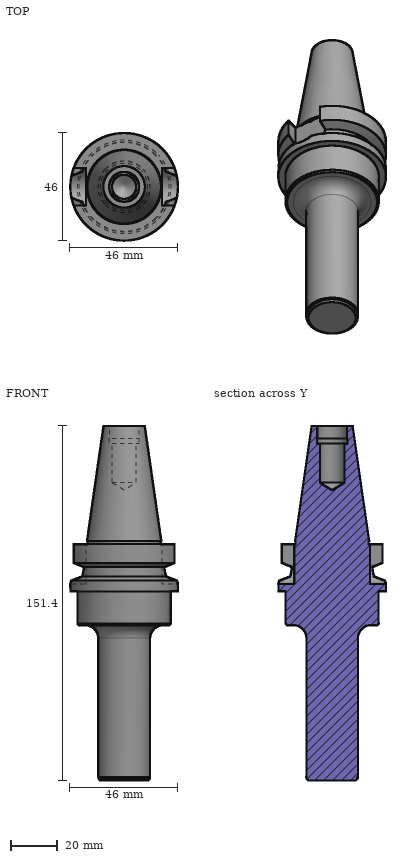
import cadquery as cq
import math

total_height = 151.4
flange_top = 101.0
flange_bottom = 80.8
body_bottom = 66.3
blend_end = 60.9

taper_tip_radius = 17.7 / 2
gauge_radius = 31.8 / 2
neck_radius = 31.3 / 2
neck_height = 1.4

flange_radius = 46.0 / 2
groove_radius = 38.0 / 2
upper_rim_height = 8.0
lower_rim_height = 4.5
groove_flank_height = 1.8

body_radius = 40.0 / 2
body_chamfer_height = 0.8
body_chamfer_width = 0.8
rod_radius = 22.3 / 2
rod_tip_radius = 22.0 / 2
rod_tip_height = 1.7
rod_chamfer = 0.9

slot_width = 16.0
slot_bottom = 84.0
slot_floor_distance = 16.2

bore_radius = 12.5 / 2
bore_depth = 7.5
relief_radius = 12.9 / 2
relief_depth = 5.3
drill_radius = 10.3 / 2
drill_depth = 24.2
drill_tip_angle = 118.0


def make_turned_body():
    """Revolve the half outline of the holder about Z."""
    groove_top = flange_top - upper_rim_height
    groove_bottom = flange_bottom + lower_rim_height
    blend_radius = body_bottom - blend_end
    blend_outer = rod_radius + blend_radius
    arc_inset = blend_radius * math.sqrt(0.5)
    outline = (
        cq.Workplane("XZ")
        .moveTo(0, 0)
        .lineTo(rod_tip_radius - rod_chamfer, 0)
        .lineTo(rod_tip_radius, rod_chamfer)
        .lineTo(rod_tip_radius, rod_tip_height)
        .lineTo(rod_radius, rod_tip_height)
        .lineTo(rod_radius, blend_end)
        .threePointArc(
            (blend_outer - arc_inset, blend_end + arc_inset),
            (blend_outer, body_bottom),
        )
        .lineTo(body_radius - body_chamfer_width, body_bottom)
        .lineTo(body_radius, body_bottom + body_chamfer_height)
        .lineTo(body_radius, flange_bottom)
        .lineTo(flange_radius, flange_bottom)
        .lineTo(flange_radius, groove_bottom)
        .lineTo(groove_radius, groove_bottom + groove_flank_height)
        .lineTo(groove_radius, groove_top - groove_flank_height)
        .lineTo(flange_radius, groove_top)
        .lineTo(flange_radius, flange_top)
        .lineTo(neck_radius, flange_top)
        .lineTo(neck_radius, flange_top + neck_height)
        .lineTo(gauge_radius, flange_top + neck_height)
        .lineTo(taper_tip_radius, total_height)
        .lineTo(0, total_height)
        .close()
    )
    return outline.revolve(360, (0, 0, 0), (0, 1, 0))


def make_drive_slot(side):
    """Round-bottomed slot cutter; side is -1 for -X and +1 for +X."""
    half_width = slot_width / 2
    arc_center = slot_bottom + half_width
    return (
        cq.Workplane("YZ", origin=(side * slot_floor_distance, 0, 0))
        .moveTo(-half_width, flange_top)
        .lineTo(-half_width, arc_center)
        .threePointArc((0, slot_bottom), (half_width, arc_center))
        .lineTo(half_width, flange_top)
        .close()
        .extrude(side * flange_radius)
    )


def make_bore():
    """Stepped bore from the tip of the taper, ending in a drill cone."""
    relief_top = total_height - relief_depth
    step = total_height - bore_depth
    drill_end = total_height - drill_depth
    cone_height = drill_radius / math.tan(math.radians(drill_tip_angle / 2))
    outline = (
        cq.Workplane("XZ")
        .moveTo(0, total_height)
        .lineTo(bore_radius, total_height)
        .lineTo(bore_radius, relief_top)
        .lineTo(relief_radius, relief_top)
        .lineTo(relief_radius, step)
        .lineTo(drill_radius, step)
        .lineTo(drill_radius, drill_end)
        .lineTo(0, drill_end - cone_height)
        .close()
    )
    return outline.revolve(360, (0, 0, 0), (0, 1, 0))


result = make_turned_body().cut(make_bore())
for side in (-1, 1):
    result = result.cut(make_drive_slot(side))